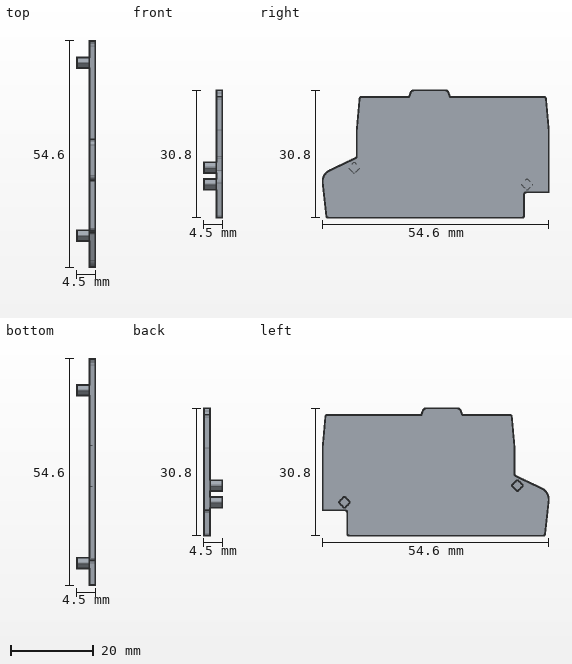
import cadquery as cq
import math

length = 54.6
height = 30.8
plate_thickness = 1.5
peg_length = 3.0

shoulder_height = 29.15
body_length = 46.35
taper_start_height = 21.2
taper_inset = 0.7

notch_length = 5.95
notch_height = 6.1

tab_start = 23.8
tab_end = 33.75
tab_side_lean = math.radians(20)
tab_radius = 1.0

nose_radius = 3.0
nose_center_height = 8.75
ramp_angle = math.radians(25.4)
flank_angle = math.radians(6.3)

corner_radius = 0.5
ramp_root_radius = 0.4
rear_corner_radius = 0.3

peg_side = 2.0
peg_edge_radius = 0.2
peg_centers = [(5.3, 8.1), (47.0, 12.1)]


def nose_point(angle):
    """Point on the round nose tip, at an angle above the forward direction."""
    return (
        length - nose_radius + nose_radius * math.cos(angle),
        nose_center_height + nose_radius * math.sin(angle),
    )


def to_yz(point):
    """Turn (along, height) into YZ workplane coordinates."""
    along, up = point
    return (-along, up)


def make_plate():
    ramp_end = nose_point(math.pi / 2 - ramp_angle)
    tip_middle = nose_point(0)
    flank_start = nose_point(-flank_angle)

    ramp_root = (
        body_length,
        ramp_end[1] + (ramp_end[0] - body_length) * math.tan(ramp_angle),
    )
    base_front = (flank_start[0] - flank_start[1] * math.tan(flank_angle), 0)
    base_rear = (notch_length, 0)
    notch_root = (notch_length, notch_height)
    rear_bottom = (0, notch_height)
    rear_top = (taper_inset, shoulder_height)
    front_top = (body_length - taper_inset, shoulder_height)

    tab_inset = (height - shoulder_height) * math.tan(tab_side_lean)
    tab_rear_top = (tab_start + tab_inset, height)
    tab_front_top = (tab_end - tab_inset, height)

    before_nose = [
        base_rear,
        notch_root,
        rear_bottom,
        (0, taper_start_height),
        rear_top,
        (tab_start, shoulder_height),
        tab_rear_top,
        tab_front_top,
        (tab_end, shoulder_height),
        front_top,
        (body_length, taper_start_height),
        ramp_root,
        ramp_end,
    ]
    plate = (
        cq.Workplane("YZ")
        .polyline([to_yz(point) for point in before_nose])
        .threePointArc(to_yz(tip_middle), to_yz(flank_start))
        .lineTo(*to_yz(base_front))
        .close()
        .extrude(plate_thickness)
    )

    rounded_corners = [
        (corner_radius, [base_front, base_rear, notch_root, rear_top, front_top]),
        (rear_corner_radius, [rear_bottom]),
        (ramp_root_radius, [ramp_root]),
        (tab_radius, [tab_rear_top, tab_front_top]),
    ]
    for radius, corners in rounded_corners:
        for corner in corners:
            edge_middle = (plate_thickness / 2, *to_yz(corner))
            edge = cq.selectors.NearestToPointSelector(edge_middle)
            plate = plate.edges("|X").edges(edge).fillet(radius)
    return plate


def make_pegs():
    return (
        cq.Workplane("YZ")
        .pushPoints([to_yz(center) for center in peg_centers])
        .polygon(4, peg_side * math.sqrt(2))
        .extrude(-peg_length)
        .edges("|X")
        .fillet(peg_edge_radius)
    )


result = make_plate().union(make_pegs())